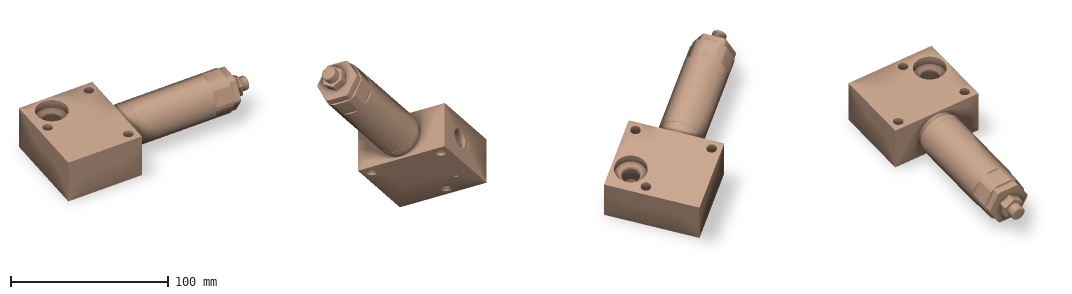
import cadquery as cq
import math


BLOCK_WIDTH = 63.5
BLOCK_LENGTH = 53.8
BLOCK_HEIGHT = 31.7

MOUNT_DIAMETER = 6.7
MOUNT_EDGE_GAP = 6.2
REAR_MOUNT_X = 25.3
FRONT_MOUNT_X = -5.8

SPOTFACE_DIAMETER = 21.5
THREAD_DIAMETER = 13.3
BORE_DIAMETER = 11.5
BORE_DEPTH = 12.0
DRILL_POINT_ANGLE = 118

TOP_PORT_X = -19.1
TOP_PORT_Y = 16.9
TOP_SPOTFACE_DEPTH = 6.2
TOP_PASSAGE_DIAMETER = 2.5

SIDE_PORT_Y = 34.1
SIDE_SPOTFACE_DEPTH = 0.1
SIDE_PASSAGE_DIAMETER = 5.8

NECK_RADIUS = 14.1
BARREL_RADIUS = 15.0
BARREL_START = 56.3
BARREL_CHAMFER_LENGTH = 0.9
BARREL_CHAMFER_DEPTH = 0.5
NECK_TAPER_LENGTH = 0.5
BARREL_END = 131.4
GROOVE_START = 61.6
GROOVE_WIDTH = 1.0
GROOVE_DEPTH = 0.1
WRENCH_FLATS_START = 118.1
WRENCH_ACROSS_FLATS = 28.0
WRENCH_SIDE_FLAT_ANGLE = 27

CAP_ACROSS_FLATS = 25.6
CAP_CORNER_RADIUS = 14.4
CAP_END = 136.5
NUT_ACROSS_FLATS = 13.0
NUT_END = 142.2
SCREW_RADIUS = 4.7
SCREW_END = 148.2
SCREW_CHAMFER_LENGTH = 0.6
SCREW_CHAMFER_DEPTH = 0.7


def rod(radius, start, end):
    """Cylinder on the valve axis between two Y stations."""
    return cq.Workplane("XZ", origin=(0, start, 0)).circle(radius).extrude(start - end)


def hexagon(across_flats, start, end, turn=0):
    """Hexagonal prism on the valve axis, with corners on X when turn is zero degrees."""
    corner_diameter = across_flats / math.cos(math.pi / 6)
    prism = cq.Workplane("XZ", origin=(0, start, 0)).polygon(6, corner_diameter).extrude(start - end)
    return prism.rotate((0, 0, 0), (0, 1, 0), turn)


def port(spotface_depth, passage_diameter, passage_end):
    """Cutter for a port that enters at the origin and runs down -Z."""
    spotface_radius = SPOTFACE_DIAMETER / 2
    thread_radius = THREAD_DIAMETER / 2
    bore_radius = BORE_DIAMETER / 2
    passage_radius = passage_diameter / 2
    chamfer_end = spotface_depth + thread_radius - bore_radius
    bore_end = spotface_depth + BORE_DEPTH
    cone_length = (bore_radius - passage_radius) / math.tan(math.radians(DRILL_POINT_ANGLE / 2))
    profile = [
        (0, 0),
        (spotface_radius, 0),
        (spotface_radius, -spotface_depth),
        (thread_radius, -spotface_depth),
        (bore_radius, -chamfer_end),
        (bore_radius, -bore_end),
        (passage_radius, -bore_end - cone_length),
        (passage_radius, -passage_end),
        (0, -passage_end),
    ]
    return cq.Workplane("XZ").polyline(profile).close().revolve(360, (0, 0, 0), (0, 1, 0))


def manifold_block():
    block = cq.Workplane("XY").box(BLOCK_WIDTH, BLOCK_LENGTH, BLOCK_HEIGHT)
    block = block.translate((0, BLOCK_LENGTH / 2, 0))
    rear_y = BLOCK_LENGTH - MOUNT_EDGE_GAP
    mount_points = [
        (-REAR_MOUNT_X, rear_y),
        (REAR_MOUNT_X, rear_y),
        (FRONT_MOUNT_X, MOUNT_EDGE_GAP),
    ]
    mounts = cq.Workplane("XY").pushPoints(mount_points).circle(MOUNT_DIAMETER / 2)
    block = block.cut(mounts.extrude(BLOCK_HEIGHT, both=True))

    top_port = port(TOP_SPOTFACE_DEPTH, TOP_PASSAGE_DIAMETER, BLOCK_HEIGHT)
    block = block.cut(top_port.translate((TOP_PORT_X, TOP_PORT_Y, BLOCK_HEIGHT / 2)))

    side_port = port(SIDE_SPOTFACE_DEPTH, SIDE_PASSAGE_DIAMETER, BLOCK_WIDTH / 2)
    side_port = side_port.rotate((0, 0, 0), (0, 1, 0), -90)
    return block.cut(side_port.translate((-BLOCK_WIDTH / 2, SIDE_PORT_Y, 0)))


def barrel():
    taper_end = BARREL_START + NECK_TAPER_LENGTH
    chamfer_end = taper_end + BARREL_CHAMFER_LENGTH
    groove_end = GROOVE_START + GROOVE_WIDTH
    groove_radius = BARREL_RADIUS - GROOVE_DEPTH
    profile = [
        (0, BARREL_START),
        (NECK_RADIUS, BARREL_START),
        (BARREL_RADIUS - BARREL_CHAMFER_DEPTH, taper_end),
        (BARREL_RADIUS, chamfer_end),
        (BARREL_RADIUS, GROOVE_START),
        (groove_radius, GROOVE_START),
        (groove_radius, groove_end),
        (BARREL_RADIUS, groove_end),
        (BARREL_RADIUS, BARREL_END),
        (0, BARREL_END),
    ]
    body = cq.Workplane("XY").polyline(profile).close().revolve(360, (0, 0, 0), (0, 1, 0))

    flat_length = BARREL_END - WRENCH_FLATS_START
    flat_y = (WRENCH_FLATS_START + BARREL_END) / 2
    side_angle = WRENCH_SIDE_FLAT_ANGLE
    cutter = cq.Workplane("XY").box(BARREL_RADIUS, flat_length, 2 * BARREL_RADIUS)
    cutter = cutter.translate(((WRENCH_ACROSS_FLATS + BARREL_RADIUS) / 2, flat_y, 0))
    for angle in (90, -90, side_angle, -side_angle, 180 - side_angle, 180 + side_angle):
        body = body.cut(cutter.rotate((0, 0, 0), (0, 1, 0), angle))
    return body


def cap():
    blank = hexagon(CAP_ACROSS_FLATS, BARREL_END, CAP_END)
    return blank.intersect(rod(CAP_CORNER_RADIUS, BARREL_END, CAP_END))


def adjusting_screw():
    profile = [
        (0, NUT_END),
        (SCREW_RADIUS, NUT_END),
        (SCREW_RADIUS, SCREW_END - SCREW_CHAMFER_LENGTH),
        (SCREW_RADIUS - SCREW_CHAMFER_DEPTH, SCREW_END),
        (0, SCREW_END),
    ]
    return cq.Workplane("XY").polyline(profile).close().revolve(360, (0, 0, 0), (0, 1, 0))


neck = rod(NECK_RADIUS, BLOCK_LENGTH, BARREL_START)
lock_nut = hexagon(NUT_ACROSS_FLATS, CAP_END, NUT_END, turn=30)

result = manifold_block()
for section in (neck, barrel(), cap(), lock_nut, adjusting_screw()):
    result = result.union(section)